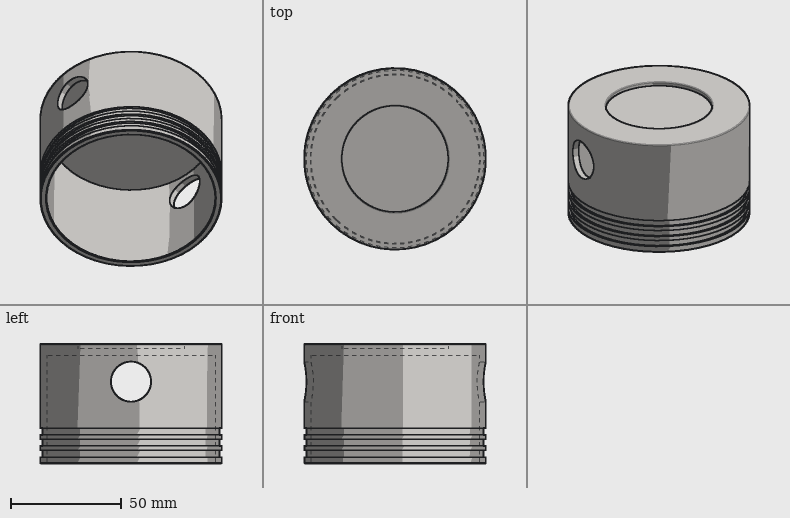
import cadquery as cq

outer_diameter = 82.0
height = 54.0
wall_thickness = 3.0
inner_diameter = outer_diameter - 2 * wall_thickness

crown_edge_radius = 0.4
open_end_chamfer = 0.4

recess_diameter = 48.0
recess_depth = 2.0
crown_thickness = recess_depth + wall_thickness

groove_count = 3
groove_width = 3.0
groove_depth = 1.0
groove_floor_diameter = outer_diameter - 2 * groove_depth
groove_pitch = 5.0
first_groove_z = 3.0

pin_hole_diameter = 18.0
pin_hole_z = 37.0


def cylinder(diameter, bottom_z, length):
    """Upright cylinder on the Z axis."""
    return cq.Workplane("XY").workplane(offset=bottom_z).circle(diameter / 2).extrude(length)


def make_body():
    """Cup open at the bottom, with a recessed crown and broken rim edges."""
    body = cylinder(outer_diameter, 0, height)
    body = body.cut(cylinder(recess_diameter, height - recess_depth, recess_depth))
    body = body.cut(cylinder(inner_diameter, 0, height - crown_thickness))
    body = body.faces(">Z").edges().fillet(crown_edge_radius)
    return body.faces("<Z").edges().chamfer(open_end_chamfer)


def make_ring_groove(bottom_z):
    """Rectangular groove around the skirt, as a cutting solid."""
    core = cylinder(groove_floor_diameter, bottom_z, groove_width)
    return cylinder(outer_diameter, bottom_z, groove_width).cut(core)


def make_pin_hole():
    """Cylinder across the whole skirt, as a cutting solid."""
    return (
        cq.Workplane("YZ")
        .center(0, pin_hole_z)
        .circle(pin_hole_diameter / 2)
        .extrude(outer_diameter / 2, both=True)
    )


result = make_body().cut(make_pin_hole())
for groove_index in range(groove_count):
    result = result.cut(make_ring_groove(first_groove_z + groove_index * groove_pitch))